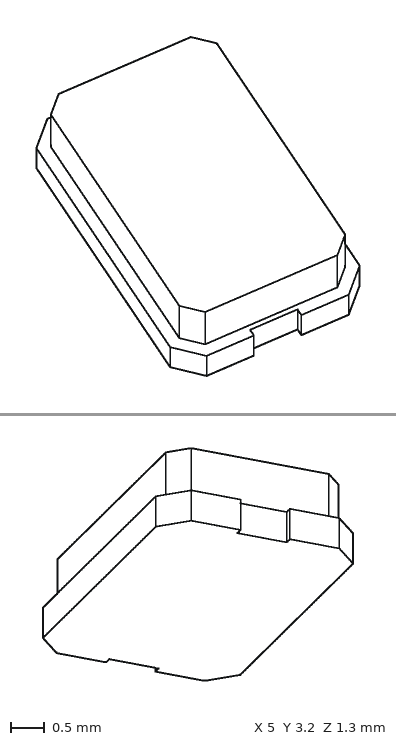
import cadquery as cq
import math

base_length = 5.0
base_width = 3.2
base_height = 0.5
base_chamfer = 0.4

total_height = 1.3
ledge = 0.2
lid_height = total_height - base_height
lid_length = base_length - 2 * ledge
lid_width = base_width - 2 * ledge
lid_chamfer = base_chamfer - ledge * (2 - math.sqrt(2))

notch_width = 0.8
notch_depth = 0.12


def chamfered_block(length, width, height, chamfer, bottom):
    """Upright block centred on the Z axis with its vertical edges chamfered."""
    block = cq.Workplane("XY", origin=(0, 0, bottom)).rect(length, width).extrude(height)
    return block.edges("|Z").chamfer(chamfer)


def end_notches():
    """Cutters for the notches, each centred on an end face of the base."""
    return (
        cq.Workplane("XY")
        .pushPoints([(-base_length / 2, 0), (base_length / 2, 0)])
        .rect(2 * notch_depth, notch_width)
        .extrude(base_height)
    )


base = chamfered_block(base_length, base_width, base_height, base_chamfer, 0).cut(end_notches())
lid = chamfered_block(lid_length, lid_width, lid_height, lid_chamfer, base_height)

result = base.union(lid)